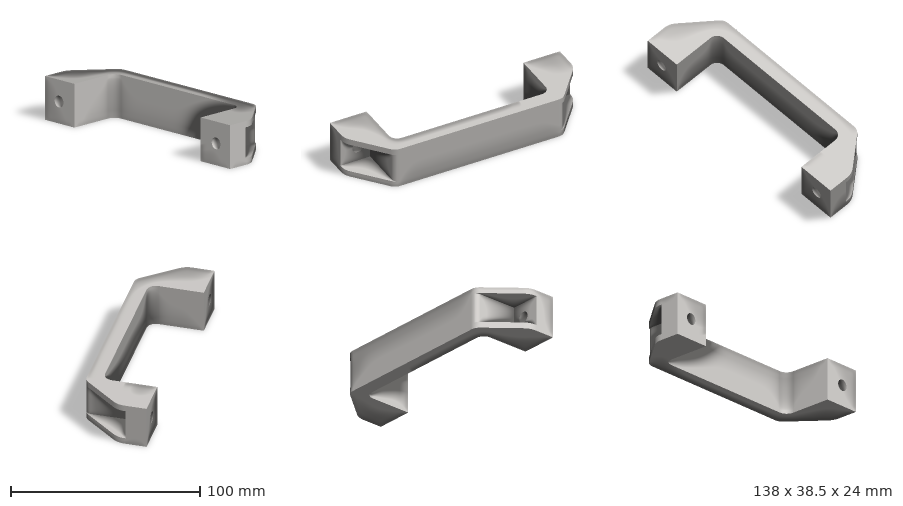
import cadquery as cq

length = 138.0
depth = 38.5
height = 24.0

leg_width = 22.0
grip_thickness = 8.5
slant_run = 18.6
slant_start = 15.9
grip_corner_radius = 6.0
leg_corner_radius = 10.0
inside_radius = 5.0

hole_diameter = 6.5
hole_inset = 10.5
pocket_height = 17.1
pocket_start = 11.6
pocket_reach = 18.0
pocket_lip_radius = 2.9

half_length = length / 2
inner_half = half_length - leg_width
grip_inner_face = depth - grip_thickness


def fillet_upright_edges(body, points, radius):
    """Round the edges parallel to Z that pass through the given XY points."""
    for x, y in points:
        body = body.edges(cq.selectors.NearestToPointSelector((x, y, height / 2))).fillet(radius)
    return body


def both_ends(x, y):
    return [(-x, y), (x, y)]


def make_handle():
    """U-shaped bar with slanted shoulders; legs point to -Y."""
    outline = [
        (-half_length, 0),
        (-half_length, slant_start),
        (-half_length + slant_run, depth),
        (half_length - slant_run, depth),
        (half_length, slant_start),
        (half_length, 0),
        (inner_half, 0),
        (inner_half, grip_inner_face),
        (-inner_half, grip_inner_face),
        (-inner_half, 0),
    ]
    body = cq.Workplane("XY").polyline(outline).close().extrude(height)
    body = fillet_upright_edges(body, both_ends(half_length, slant_start), leg_corner_radius)
    body = fillet_upright_edges(body, both_ends(half_length - slant_run, depth), grip_corner_radius)
    return fillet_upright_edges(body, both_ends(inner_half, grip_inner_face), inside_radius)


def make_pocket(side):
    """Cutter that opens one slanted shoulder; its floor rounds over onto the back face."""
    outer_x = side * half_length
    floor_x = side * (half_length - pocket_reach)
    lip_end_x = floor_x - side * pocket_lip_radius
    lip_start_y = depth - pocket_lip_radius
    return (
        cq.Workplane("XY", origin=(0, 0, (height - pocket_height) / 2))
        .moveTo(outer_x, pocket_start)
        .lineTo(floor_x, pocket_start)
        .lineTo(floor_x, lip_start_y)
        .radiusArc((lip_end_x, depth), -side * pocket_lip_radius)
        .lineTo(outer_x, depth)
        .close()
        .extrude(pocket_height)
    )


def make_screw_hole(side):
    """Hole from the foot of a leg up into its pocket."""
    return (
        cq.Workplane("XZ", origin=(side * (half_length - hole_inset), 0, height / 2))
        .circle(hole_diameter / 2)
        .extrude(-pocket_start)
    )


result = make_handle()
for side in (-1, 1):
    result = result.cut(make_pocket(side)).cut(make_screw_hole(side))